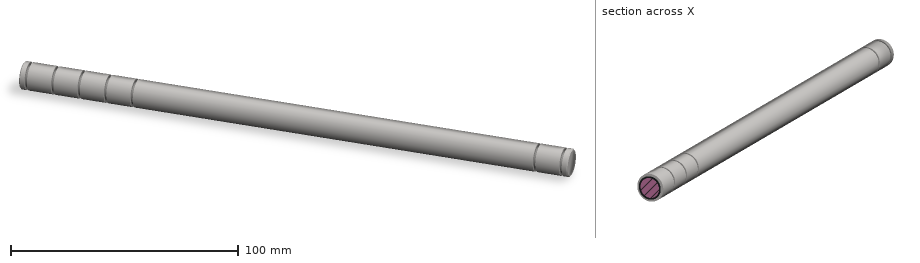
import cadquery as cq

shaft_length = 254.0
shaft_diameter = 12.7
end_chamfer = 0.5

groove_width = 1.17
groove_depth = 1.32
groove_end_distance = 3.175
groove_pitch = 12.25
left_groove_count = 5
right_groove_count = 2

shaft_radius = shaft_diameter / 2
half_length = shaft_length / 2


def groove_centres():
    """X positions of all groove centres, from left to right."""
    first_left = -half_length + groove_end_distance
    last_right = half_length - groove_end_distance
    left = [first_left + i * groove_pitch for i in range(left_groove_count)]
    right = [last_right - i * groove_pitch for i in reversed(range(right_groove_count))]
    return left + right


def shaft_profile():
    """Closed half-section in XZ, from the axis out to the chamfered, grooved surface."""
    groove_floor = shaft_radius - groove_depth
    profile = (
        cq.Workplane("XZ")
        .moveTo(-half_length, 0)
        .lineTo(-half_length, shaft_radius - end_chamfer)
        .lineTo(-half_length + end_chamfer, shaft_radius)
    )
    for centre in groove_centres():
        groove_start = centre - groove_width / 2
        groove_end = centre + groove_width / 2
        profile = (
            profile.lineTo(groove_start, shaft_radius)
            .lineTo(groove_start, groove_floor)
            .lineTo(groove_end, groove_floor)
            .lineTo(groove_end, shaft_radius)
        )
    return (
        profile.lineTo(half_length - end_chamfer, shaft_radius)
        .lineTo(half_length, shaft_radius - end_chamfer)
        .lineTo(half_length, 0)
        .close()
    )


result = shaft_profile().revolve(360, (0, 0, 0), (1, 0, 0))